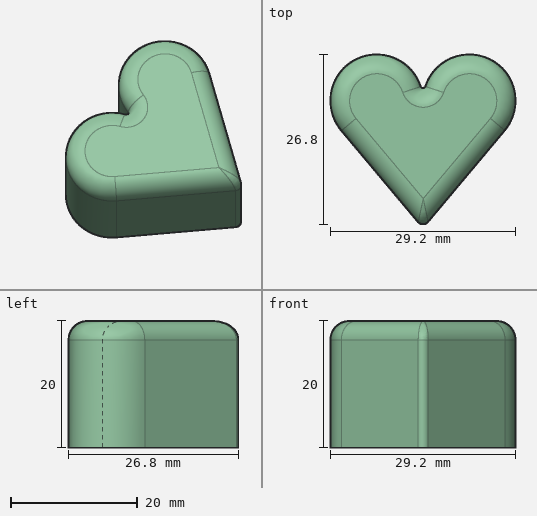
import cadquery as cq
import math

lobe_radius = 7.3
height = 20.0
side_angle = 50.0
tip_radius = 1.02
notch_radius = 0.38
top_fillet = 3.0

normal_x = math.sin(math.radians(side_angle))
normal_y = -math.cos(math.radians(side_angle))

side_top = (lobe_radius + lobe_radius * normal_x, lobe_radius * normal_y)
tip = (0, (lobe_radius * normal_x + lobe_radius) / normal_y)

centre_distance = lobe_radius + notch_radius
notch_centre_y = math.sqrt(centre_distance**2 - lobe_radius**2)
notch_end = (
    lobe_radius * notch_radius / centre_distance,
    notch_centre_y * lobe_radius / centre_distance,
)


def mirrored(point):
    """Reflect a point across the centre plane."""
    return (-point[0], point[1])


def heart_block():
    """Extruded heart outline, with lobe centres on the X axis."""
    lobe_top = (lobe_radius, lobe_radius)
    return (
        cq.Workplane("XY")
        .moveTo(*tip)
        .lineTo(*side_top)
        .threePointArc(lobe_top, notch_end)
        .threePointArc((0, notch_centre_y - notch_radius), mirrored(notch_end))
        .threePointArc(mirrored(lobe_top), mirrored(side_top))
        .close()
        .extrude(height)
    )


rounded_block = heart_block().faces(">Z").edges().fillet(top_fillet)
tip_edge = cq.selectors.NearestToPointSelector((*tip, height / 2))
result = rounded_block.edges("|Z").edges(tip_edge).fillet(tip_radius)